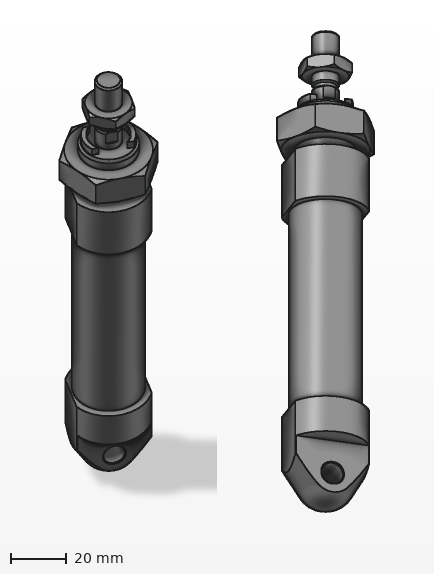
import cadquery as cq
import math


shoulder_z = 23.7
rear_cap_top = 37.5
head_bottom = 116.5
head_top = 137.0
nose_top = 157.5

tube_diameter = 26.5
cap_diameter = 32.0
cap_depth = 28.0
nose_diameter = 22.0
nose_rim_diameter = 20.4
nose_chamfer_height = 1.1

eye_thickness = 16.0
eye_radius = 11.0
eye_hole_diameter = 8.0
eye_hole_chamfer = 0.4
eye_flank_angle = math.radians(30)

lug_height = 3.0
lug_length = 12.0
lug_outer_diameter = 19.8
lug_inner_diameter = 16.0

rod_diameter = 10.0
rod_top = 187.0
rod_end_chamfer = 0.7
rod_flat_width = 8.8
rod_flat_bottom = 160.5
neck_diameter = 8.6
neck_bottom = 165.5
neck_top = 166.8
neck_chamfer = (rod_diameter - neck_diameter) / 2

mount_nut_flats = cap_diameter
mount_nut_height = 11.0
mount_nut_bottom = 142.0
mount_nut_chamfer_angle = 22
rod_nut_flats = 17.0
rod_nut_height = 5.0
rod_nut_bottom = 171.0
rod_nut_chamfer_angle = 30


def cylinder(diameter, bottom, top):
    return cq.Workplane("XY").workplane(offset=bottom).circle(diameter / 2).extrude(top - bottom)


def block(width, depth, bottom, top):
    return cq.Workplane("XY").workplane(offset=bottom).rect(width, depth).extrude(top - bottom)


def make_cap(bottom, top):
    """Round cap with two parallel flats."""
    return cylinder(cap_diameter, bottom, top).intersect(block(cap_diameter, cap_depth, bottom, top))


def make_countersink(side):
    """Cone that chamfers the eye hole on the +X (side = 1) or -X (side = -1) face."""
    mouth_radius = eye_hole_diameter / 2 + eye_hole_chamfer
    mouth = cq.Vector(side * eye_thickness / 2, 0, eye_radius)
    inward = cq.Vector(-side, 0, 0)
    return cq.Workplane(obj=cq.Solid.makeCone(
        mouth_radius, eye_hole_diameter / 2, eye_hole_chamfer, mouth, inward
    ))


def make_eye():
    """Flat tongue whose end is a sphere blended into a tangent cone, with a cross hole."""
    center_z = eye_radius
    tangent_r = eye_radius * math.cos(eye_flank_angle)
    tangent_z = center_z - eye_radius * math.sin(eye_flank_angle)
    mid_angle = (math.pi / 2 + eye_flank_angle) / 2
    mid_point = (eye_radius * math.cos(mid_angle), center_z - eye_radius * math.sin(mid_angle))
    cap_radius = cap_diameter / 2
    cone_top = tangent_z + (cap_radius - tangent_r) / math.tan(eye_flank_angle)
    envelope = (
        cq.Workplane("XZ")
        .moveTo(0, 0)
        .threePointArc(mid_point, (tangent_r, tangent_z))
        .lineTo(cap_radius, cone_top)
        .lineTo(cap_radius, shoulder_z)
        .lineTo(0, shoulder_z)
        .close()
        .revolve(360, (0, 0, 0), (0, 1, 0))
    )
    eye = envelope.intersect(block(eye_thickness, cap_depth, 0, shoulder_z))
    hole = (
        cq.Workplane("YZ")
        .center(0, center_z)
        .circle(eye_hole_diameter / 2)
        .extrude(eye_thickness / 2, both=True)
    )
    eye = eye.cut(hole)
    for side in (-1, 1):
        eye = eye.cut(make_countersink(side))
    return eye


def make_nose():
    """Threaded nose: a plain cylinder with a chamfered rim."""
    rim_inset = (nose_diameter - nose_rim_diameter) / 2
    nose = cylinder(nose_diameter, head_top, nose_top)
    return nose.faces(">Z").chamfer(nose_chamfer_height, rim_inset)


def make_lugs():
    """Two curved lugs, left from a ring by keeping its +Y and -Y parts."""
    top = nose_top + lug_height
    ring = cylinder(lug_outer_diameter, nose_top, top).cut(cylinder(lug_inner_diameter, nose_top, top))
    return ring.intersect(block(lug_length, nose_diameter, nose_top, top))


def make_cylinder_body():
    body = (
        make_cap(shoulder_z, rear_cap_top)
        .union(make_eye())
        .union(cylinder(tube_diameter, rear_cap_top, head_bottom))
        .union(make_cap(head_bottom, head_top))
        .union(make_nose())
        .union(make_lugs())
    )
    return body.cut(cylinder(rod_diameter, head_top, nose_top))


def make_rod():
    shank = cylinder(rod_diameter, head_top, neck_bottom).faces(">Z").chamfer(neck_chamfer)
    neck = cylinder(neck_diameter, neck_bottom, neck_top)
    thread = cylinder(rod_diameter, neck_top, rod_top).faces(">Z").chamfer(rod_end_chamfer)
    thread = thread.faces("<Z").chamfer(neck_chamfer)
    flats = block(rod_diameter, rod_diameter, rod_flat_bottom, neck_bottom).cut(
        block(rod_flat_width, rod_diameter, rod_flat_bottom, neck_bottom)
    )
    return shank.cut(flats).union(neck).union(thread)


def make_hex_nut(flats, bore, bottom, height, chamfer_angle, rotation):
    """Hexagon nut with corners chamfered at both ends; unrotated, its corners lie on X."""
    corner_radius = flats / math.sqrt(3)
    flat_radius = flats / 2
    drop = (corner_radius - flat_radius) * math.tan(math.radians(chamfer_angle))
    hexagon = (
        cq.Workplane("XY")
        .polygon(6, 2 * corner_radius)
        .extrude(height)
        .rotate((0, 0, 0), (0, 0, 1), rotation)
    )
    envelope = (
        cq.Workplane("XZ")
        .polyline([
            (0, 0),
            (flat_radius, 0),
            (corner_radius, drop),
            (corner_radius, height - drop),
            (flat_radius, height),
            (0, height),
        ])
        .close()
        .revolve(360, (0, 0, 0), (0, 1, 0))
    )
    nut = hexagon.intersect(envelope).cut(cylinder(bore, 0, height))
    return nut.translate((0, 0, bottom))


cylinder_body = make_cylinder_body()
rod = make_rod()
mount_nut = make_hex_nut(
    mount_nut_flats, nose_diameter, mount_nut_bottom, mount_nut_height, mount_nut_chamfer_angle, 30
)
rod_nut = make_hex_nut(
    rod_nut_flats, rod_diameter, rod_nut_bottom, rod_nut_height, rod_nut_chamfer_angle, 0
)

result = cq.Compound.makeCompound([cylinder_body.val(), rod.val(), mount_nut.val(), rod_nut.val()])